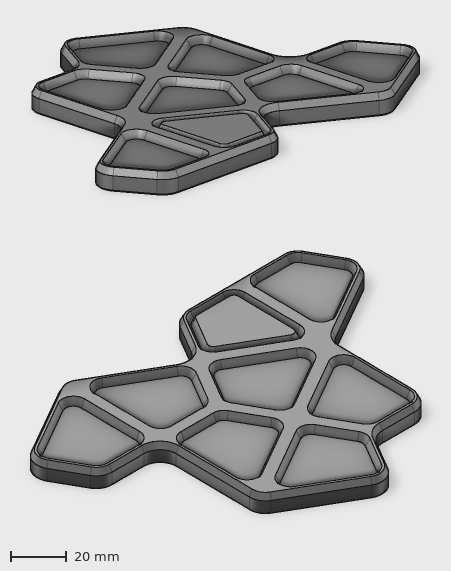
import cadquery as cq
import math


kite_long = 50.0
tile_height = 8.8
tile_corner_radius = 8.0
top_bevel_height = 2.7
top_bevel_inset = 1.5
bottom_chamfer = 0.6

rim_margin = 2.5
pocket_depth = 3.2
draft_angle = 28.0

half_kite_angle = 30.0
kite_axis = kite_long / math.cos(math.radians(half_kite_angle))
hexagon_spacing = 2 * kite_long

floor_z = tile_height - pocket_depth
wall_inset = pocket_depth * math.tan(math.radians(draft_angle))
floor_margin = rim_margin + wall_inset


def point_from(centre, distance, angle):
    """Point at a distance from a centre, in a direction given in degrees from +X."""
    direction = math.radians(angle)
    return (centre[0] + distance * math.cos(direction), centre[1] + distance * math.sin(direction))


def mid_side(hexagon, angle):
    return point_from(hexagon, kite_long, angle)


def tip(hexagon, angle):
    return point_from(hexagon, kite_axis, angle)


lower_hexagon = (0.0, 0.0)
upper_hexagon = point_from(lower_hexagon, hexagon_spacing, 90)
left_hexagon = point_from(lower_hexagon, hexagon_spacing, 150)

plugged_kite = (lower_hexagon, 60)
kites = [
    (lower_hexagon, 0),
    plugged_kite,
    (lower_hexagon, 120),
    (lower_hexagon, 180),
    (upper_hexagon, 180),
    (upper_hexagon, 240),
    (left_hexagon, 0),
    (left_hexagon, 300),
]


def inset_kite(kite, margin, z):
    """Outline at height z, inside a kite by a margin; a wider margin has tighter corners."""
    hexagon, angle = kite
    corners = [
        hexagon,
        mid_side(hexagon, angle - half_kite_angle),
        tip(hexagon, angle),
        mid_side(hexagon, angle + half_kite_angle),
    ]
    sharp_core = cq.Workplane("XY", origin=(0, 0, z)).polyline(corners).close().offset2D(-tile_corner_radius)
    return sharp_core.offset2D(tile_corner_radius - margin, "arc")


def make_pocket(kite):
    """Cutter that narrows from the rim down to the floor."""
    return inset_kite(kite, rim_margin, tile_height).extrude(-pocket_depth, taper=draft_angle)


def make_tile():
    outline = [
        lower_hexagon,
        mid_side(lower_hexagon, -30),
        tip(lower_hexagon, 0),
        tip(lower_hexagon, 60),
        mid_side(lower_hexagon, 90),
        upper_hexagon,
        mid_side(upper_hexagon, 150),
        tip(upper_hexagon, 180),
        mid_side(upper_hexagon, 210),
        left_hexagon,
        mid_side(left_hexagon, 270),
        tip(left_hexagon, 300),
        mid_side(lower_hexagon, 210),
    ]
    tile = cq.Workplane("XY").polyline(outline).close().extrude(tile_height)
    tile = tile.edges("|Z").fillet(tile_corner_radius)
    tile = tile.faces(">Z").chamfer(top_bevel_height, top_bevel_inset)
    tile = tile.faces("<Z").chamfer(bottom_chamfer)
    for kite in kites:
        tile = tile.cut(make_pocket(kite))
    return tile


def make_plug(kite):
    """Plug that covers the pocket floor and narrows up to the level of the tile top."""
    return inset_kite(kite, floor_margin, floor_z).extrude(pocket_depth, taper=draft_angle)


tile = make_tile()
plug = make_plug(plugged_kite)

result = cq.Compound.makeCompound([tile.solids().val(), plug.val()])